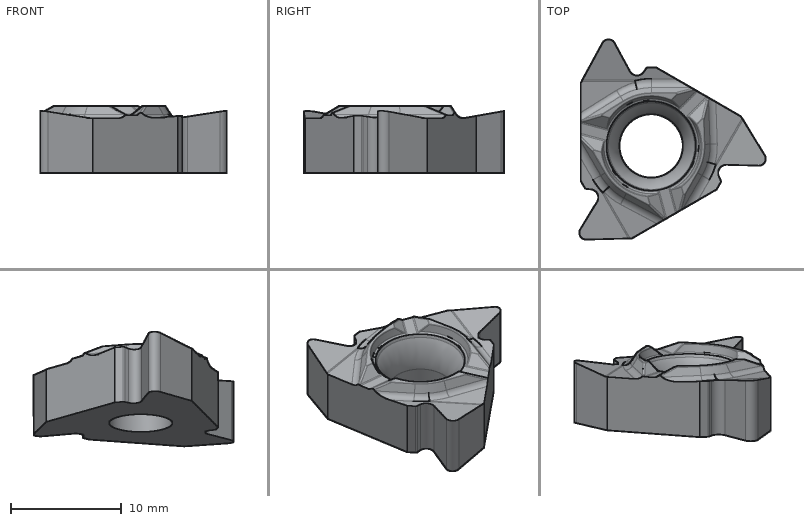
import cadquery as cq
import math

TEETH = 3
TOOTH_STEP = 360 / TEETH

edge_distance = 6.36
tip_radius = 0.63
tip_x = -3.85
tip_y = 8.98
thread_angle = 55
flank_lean = 1
relief_radius = 0.72
lug_height = 7.08
lug_corner_radius = 0.18
relief_end_angle = -36

total_height = 6.05
land_height = 4.95
tooth_slope = 10
crease_radius = 0.72
crease_y = 5.89

hub_top_radius = 4.8
hub_side_angle = 57
hub_foot_radius = 0.78
hub_edge_fillet = 0.05
hub_split_angle = 104
hub_turn = 32
hub_reach = 8.13

groove_angle = 45
groove_offset = 0.09
groove_floor_height = 5.22
groove_floor_width = 1.03
groove_wall_angle = 38
groove_floor_fillet = 0.2
ridge_fillet = 0.16

bore_diameter = 5.7
flare_radius = 4.1
flare_rim_radius = 3.9
lip_radius = 4.03
lip_drop = 0.25
recess_top_radius = 4.52
recess_floor_radius = 4.25
recess_fillet = 0.18
recess_end_fillet = 0.09

Z_AXIS = ((0, 0, 0), (0, 0, 1))
CLEARANCE = 1.8
STEEPNESS_MARGIN = 5


def polar(radius, angle, centre=(0, 0)):
    """Point on a circle at an angle in degrees."""
    a = math.radians(angle)
    return (centre[0] + radius * math.cos(a), centre[1] + radius * math.sin(a))


def turned(point, angle):
    """The point rotated about the origin by an angle in degrees."""
    a = math.radians(angle)
    x, y = point
    return (x * math.cos(a) - y * math.sin(a), x * math.sin(a) + y * math.cos(a))


def around_axis(solid):
    """The solid fused with its copies at the other teeth."""
    whole = solid
    for i in range(1, TEETH):
        whole = whole.union(solid.rotate(*Z_AXIS, i * TOOTH_STEP))
    return whole


def outline_prism(height):
    """Three-toothed outline carried up to the given height."""
    half = thread_angle / 2
    tip = (tip_x, tip_y)
    left_normal = 180 - half + flank_lean
    right_normal = half + flank_lean
    left_tangent = polar(tip_radius, left_normal, tip)
    right_tangent = polar(tip_radius, right_normal, tip)
    run = left_tangent[0] + edge_distance
    root = (-edge_distance, left_tangent[1] - run * math.tan(math.radians(90 - half - flank_lean)))

    n = math.radians(right_normal)
    notch_y = edge_distance + relief_radius
    gap = tip_radius + relief_radius
    notch = (tip_x + (gap - (notch_y - tip_y) * math.sin(n)) / math.cos(n), notch_y)
    notch_start = polar(relief_radius, right_normal + 180, notch)
    notch_bottom = polar(relief_radius, 270, notch)
    notch_end = polar(relief_radius, relief_end_angle, notch)

    corner_y = lug_height - lug_corner_radius
    e = math.radians(relief_end_angle)
    across = relief_radius + lug_corner_radius
    corner_x = notch[0] + (across + (notch_y - corner_y) * math.sin(e)) / math.cos(e)
    corner = (corner_x, corner_y)
    corner_start = polar(lug_corner_radius, 180 + relief_end_angle, corner)
    corner_middle = polar(lug_corner_radius, 135 + relief_end_angle / 2, corner)
    corner_end = polar(lug_corner_radius, 90, corner)

    a = math.radians(180 - TOOTH_STEP)
    lug_right = ((edge_distance - lug_height * math.sin(a)) / math.cos(a), lug_height)

    sketch = cq.Workplane("XY").moveTo(*root)
    for i in range(TEETH):
        turn = -i * TOOTH_STEP
        if i:
            sketch = sketch.lineTo(*turned(root, turn))
        sketch = (
            sketch.lineTo(*turned(left_tangent, turn))
            .threePointArc(turned(polar(tip_radius, 90, tip), turn), turned(right_tangent, turn))
            .lineTo(*turned(notch_start, turn))
            .threePointArc(turned(notch_bottom, turn), turned(notch_end, turn))
            .lineTo(*turned(corner_start, turn))
            .threePointArc(turned(corner_middle, turn), turned(corner_end, turn))
            .lineTo(*turned(lug_right, turn))
        )
    return sketch.close().extrude(height)


def tooth_wedge():
    """Raked face of the tooth pointing along +Y, blended into the flat land."""
    tangent = crease_radius * math.tan(math.radians(tooth_slope / 2))
    blend_centre = (crease_y - tangent, land_height + crease_radius)
    length = tip_y + CLEARANCE - crease_y
    rise = length * math.tan(math.radians(tooth_slope))
    return (
        cq.Workplane("YZ", origin=(-hub_reach, 0, 0))
        .moveTo(blend_centre[0], 0)
        .lineTo(blend_centre[0], land_height)
        .threePointArc(
            polar(crease_radius, tooth_slope / 2 - 90, blend_centre),
            polar(crease_radius, tooth_slope - 90, blend_centre),
        )
        .lineTo(crease_y + length, land_height + rise)
        .lineTo(crease_y + length, 0)
        .close()
        .extrude(2 * hub_reach)
    )


def hub_profile(ground_slope):
    """Hub cross-section whose foot runs tangent into ground of the given slope."""
    side = math.radians(hub_side_angle)
    ground = math.radians(ground_slope)
    drop = total_height - land_height
    flat_corner = hub_top_radius + drop / math.tan(side)
    below = (crease_y - flat_corner) * math.tan(ground)
    shift = below / (math.tan(side) + math.tan(ground))
    corner = (flat_corner + shift, land_height - shift * math.tan(side))
    tangent = hub_foot_radius * math.tan((side + ground) / 2)
    start = (corner[0] - tangent * math.cos(side), corner[1] + tangent * math.sin(side))
    end = (corner[0] + tangent * math.cos(ground), corner[1] + tangent * math.sin(ground))
    centre = (end[0] - hub_foot_radius * math.sin(ground), end[1] + hub_foot_radius * math.cos(ground))
    middle = polar(hub_foot_radius, (ground_slope - hub_side_angle) / 2 - 90, centre)
    return (
        cq.Workplane("YZ")
        .moveTo(0, 0)
        .lineTo(0, total_height)
        .lineTo(hub_top_radius, total_height)
        .lineTo(*start)
        .threePointArc(middle, end)
        .lineTo(end[0], 0)
        .close()
    )


def mitre_sector():
    """Sector from one groove to the next, around one tooth."""
    radius = 2 * hub_reach
    return (
        cq.Workplane("XY")
        .lineTo(*polar(radius, groove_angle))
        .lineTo(*polar(radius, groove_angle + TOOTH_STEP / 2))
        .lineTo(*polar(radius, groove_angle + TOOTH_STEP))
        .close()
        .extrude(total_height)
    )


def hub_third():
    """The two straight sides beside one tooth, joined by a round corner."""
    tooth_side = hub_profile(tooth_slope).extrude(hub_reach)
    land_side = hub_profile(0).extrude(-hub_reach).rotate(*Z_AXIS, hub_turn)
    tooth_turn = hub_split_angle - 90
    tooth_corner = hub_profile(tooth_slope).revolve(tooth_turn, (0, 0), (0, 1))
    land_corner = hub_profile(0).revolve(hub_turn - tooth_turn, (0, 0), (0, 1))
    land_corner = land_corner.rotate(*Z_AXIS, tooth_turn)
    third = tooth_side.union(tooth_corner).union(land_corner).union(land_side)
    return third.intersect(mitre_sector())


def groove_cutter():
    """Flared channel running outward from the bore axis."""
    depth = total_height + CLEARANCE - groove_floor_height
    half_floor = groove_floor_width / 2
    half_top = half_floor + depth / math.tan(math.radians(groove_wall_angle))
    channel = (
        cq.Workplane("YZ")
        .moveTo(groove_offset - half_floor, groove_floor_height)
        .lineTo(groove_offset + half_floor, groove_floor_height)
        .lineTo(groove_offset + half_top, groove_floor_height + depth)
        .lineTo(groove_offset - half_top, groove_floor_height + depth)
        .close()
        .extrude(hub_reach)
        .edges("|X and <Z")
        .fillet(groove_floor_fillet)
    )
    return channel.rotate(*Z_AXIS, groove_angle)


def bore_cutter():
    """Through bore, flared screw seat and the shallow ring recess above it."""
    bore_radius = bore_diameter / 2
    flare_x = bore_radius + flare_radius
    flare_angle = math.degrees(math.acos((flare_x - flare_rim_radius) / flare_radius))
    flare_top = groove_floor_height - lip_drop
    flare_bottom = flare_top - flare_radius * math.sin(math.radians(flare_angle))
    flare_middle = polar(flare_radius, 180 - flare_angle / 2, (flare_x, flare_bottom))

    rise = total_height - groove_floor_height
    wall_angle = math.degrees(math.atan2(rise, recess_top_radius - recess_floor_radius))
    tangent = recess_fillet * math.tan(math.radians(wall_angle / 2))
    floor_end = (recess_floor_radius - tangent, groove_floor_height)
    fillet_centre = (floor_end[0], groove_floor_height + recess_fillet)
    wall_start = polar(recess_fillet, wall_angle - 90, fillet_centre)
    return (
        cq.Workplane("XZ")
        .lineTo(bore_radius, 0)
        .lineTo(bore_radius, flare_bottom)
        .threePointArc(flare_middle, (flare_rim_radius, flare_top))
        .lineTo(lip_radius, groove_floor_height)
        .lineTo(*floor_end)
        .threePointArc(polar(recess_fillet, wall_angle / 2 - 90, fillet_centre), wall_start)
        .lineTo(recess_top_radius, total_height)
        .lineTo(0, total_height)
        .close()
        .revolve(360, (0, 0), (0, 1))
    )


def falls_from_top(edge):
    """Whether the edge leads down from the hub top."""
    box = edge.BoundingBox()
    return math.isclose(box.zmax, total_height, abs_tol=0.002) and box.zmin < total_height - hub_edge_fillet


def ridge_edges(solid):
    """Straight edges between a groove wall and a hub side."""
    ridge_limit = math.sin(math.radians(hub_side_angle - STEEPNESS_MARGIN))
    ridges = []
    for edge in solid.edges("%LINE").vals():
        box = edge.BoundingBox()
        steepness = (box.zmax - box.zmin) / edge.Length()
        if falls_from_top(edge) and steepness < ridge_limit:
            ridges.append(edge)
    return solid.newObject(ridges)


def recess_end_edges(solid):
    """Curved edges where the ring recess breaks into the groove walls."""
    return solid.newObject([e for e in solid.edges("%ELLIPSE").vals() if falls_from_top(e)])


land = cq.Workplane("XY").circle(2 * hub_reach).extrude(land_height)
insert = around_axis(tooth_wedge()).union(land).union(around_axis(hub_third()))
insert = insert.cut(around_axis(groove_cutter()))
insert = insert.intersect(outline_prism(total_height))
insert = insert.cut(bore_cutter())
insert = ridge_edges(insert).fillet(ridge_fillet)
insert = recess_end_edges(insert).fillet(recess_end_fillet)
result = insert.faces(">Z").edges().fillet(hub_edge_fillet)